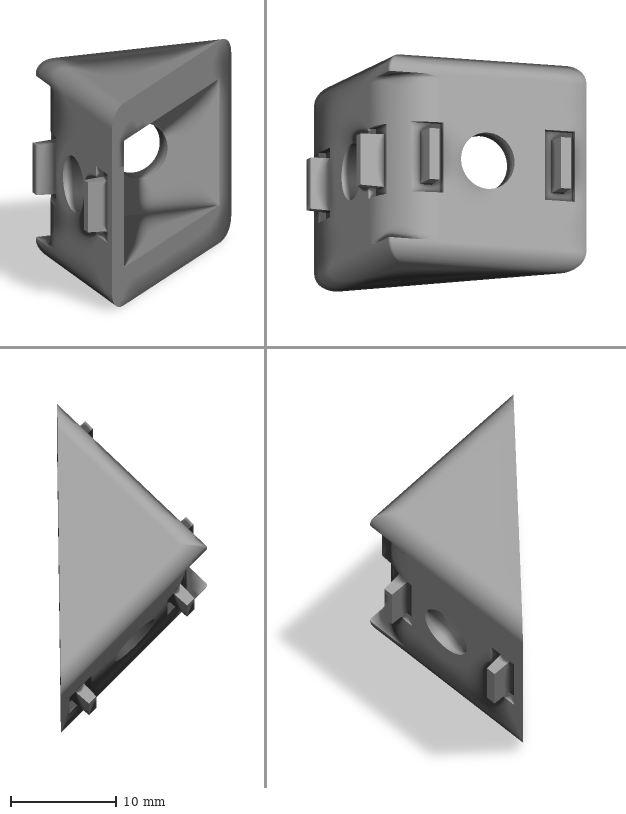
import cadquery as cq

OVERALL = 21.6
SIDE = 20.0
HALF_SIDE = SIDE / 2
EDGE_ROUND = 1.88
CORNER_ROUND = 0.25
TOLERANCE = 0.0002

RECESS_RADIUS = 5.0
RECESS_HALF_HEIGHT = 8.01
RECESS_ROOT_ROUND = 0.25

WALL = 2.0
CAVITY_HALF_HEIGHT = 6.26

BOLT_HOLE_DIAMETER = 5.42

TAB_CENTRES = (4.0, 17.32)
POCKET_WIDTH = 3.0
POCKET_HEIGHT = 6.75
POCKET_DEPTH = 0.75
TAB_REACH = OVERALL - SIDE
TAB_ROOT_WIDTH = 1.2
TAB_ROOT_HEIGHT = 5.1
TAB_TIP_WIDTH = 1.0
TAB_TIP_HEIGHT = 4.92


def on_other_face(shape):
    """The same shape on the other square face, with X and Y exchanged."""
    return shape.rotate((0, 0, 0), (1, 1, 0), 180)


def triangle_prism(corner, half_height):
    """Prism between the sloping side and a square corner at (corner, corner)."""
    end = SIDE - corner
    return (
        cq.Workplane("XY", origin=(0, 0, -half_height))
        .moveTo(corner, corner)
        .lineTo(end, corner)
        .lineTo(corner, end)
        .close()
        .extrude(2 * half_height)
    )


def rounded_bar():
    """Square bar along X whose two long edges at Y = 0 are rounded."""
    return (
        cq.Workplane("YZ", origin=(0, HALF_SIDE, 0))
        .rect(SIDE, SIDE)
        .extrude(SIDE)
        .edges("|X and <Y")
        .fillet(EDGE_ROUND)
    )


def is_corner_edge(edge):
    """True for the corner edge and the two mitres where the long rounds meet above and below it."""
    centre = edge.Center()
    return abs(centre.x - centre.y) < TOLERANCE and centre.x < EDGE_ROUND


def rounded_body():
    bar = rounded_bar()
    body = triangle_prism(0, HALF_SIDE).intersect(bar).intersect(on_other_face(bar))
    corner_edges = [edge for edge in body.edges().vals() if is_corner_edge(edge)]
    return body.newObject(corner_edges).fillet(CORNER_ROUND)


def corner_recess():
    """Cutting tool: a square block less a round post that flares where it meets the flanges."""
    block = (
        cq.Workplane("XY")
        .box(RECESS_RADIUS, RECESS_RADIUS, 2 * RECESS_HALF_HEIGHT)
        .translate((RECESS_RADIUS / 2, RECESS_RADIUS / 2, 0))
    )
    flare_start = RECESS_HALF_HEIGHT - RECESS_ROOT_ROUND
    flare_radius = RECESS_RADIUS + RECESS_ROOT_ROUND
    upper_post = (
        cq.Workplane("XZ")
        .lineTo(RECESS_RADIUS, 0)
        .lineTo(RECESS_RADIUS, flare_start)
        .radiusArc((flare_radius, RECESS_HALF_HEIGHT), RECESS_ROOT_ROUND)
        .lineTo(0, RECESS_HALF_HEIGHT)
        .close()
        .revolve(360, (0, 0, 0), (0, 1, 0))
    )
    post = upper_post.union(upper_post.mirror("XY"))
    return block.cut(post.translate((RECESS_RADIUS, RECESS_RADIUS, 0)))


def bolt_hole():
    """Cutting tool for the hole in the Y = 0 face."""
    return (
        cq.Workplane("XZ", origin=(HALF_SIDE, 0, 0))
        .circle(BOLT_HOLE_DIAMETER / 2)
        .extrude(-SIDE)
    )


def pocket(x):
    """Cutting tool for a tab pocket in the Y = 0 face."""
    return (
        cq.Workplane("XZ", origin=(x, POCKET_DEPTH, 0))
        .rect(POCKET_WIDTH, POCKET_HEIGHT)
        .extrude(2 * POCKET_DEPTH)
    )


def tab(x):
    """Tapered tab standing on a pocket floor and passing out through the Y = 0 face."""
    return (
        cq.Workplane("XZ", origin=(x, POCKET_DEPTH, 0))
        .rect(TAB_ROOT_WIDTH, TAB_ROOT_HEIGHT)
        .workplane(offset=POCKET_DEPTH + TAB_REACH)
        .rect(TAB_TIP_WIDTH, TAB_TIP_HEIGHT)
        .loft()
    )


result = rounded_body().cut(corner_recess()).cut(triangle_prism(WALL, CAVITY_HALF_HEIGHT))
result = result.cut(bolt_hole()).cut(on_other_face(bolt_hole()))

for tab_centre in TAB_CENTRES:
    result = result.cut(pocket(tab_centre)).cut(on_other_face(pocket(tab_centre)))
    result = result.union(tab(tab_centre)).union(on_other_face(tab(tab_centre)))